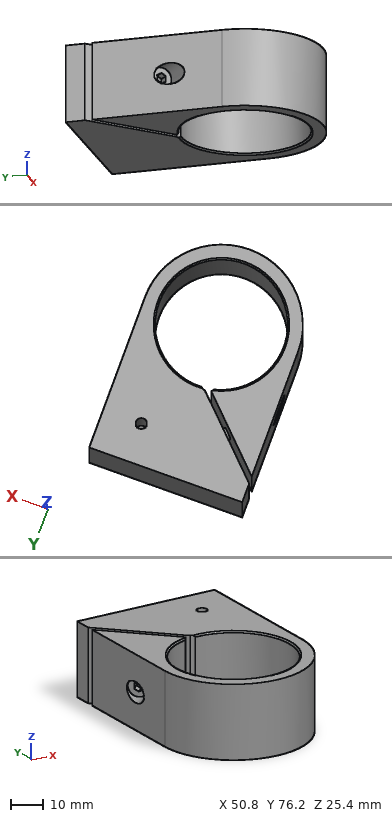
import cadquery as cq
import math

length = 76.2
outer_radius = length / 3
width = 2 * outer_radius
height = length / 3
back_y = length - outer_radius

bore_radius = 20.65
bore_chamfer = 0.5

slot_width = 1.7
slot_y_at_axis = 17.9

relief_center = (-2.75, 19.05)
relief_radius = 2.45

screw_center = (-12.3, 30.2)
shank_diameter = 4.0
head_diameter = 7.0
head_top_distance = 13.5
socket_flats = 3.05
socket_depth = 3.05
toward_block = cq.Vector(1, 1, 0).normalized()

drill_diameter = 3.5
drill_x = width / 4
drill_y = 1.5 * outer_radius
drill_depth = height / 2
drill_point_angle = 118.0


def make_body():
    return (
        cq.Workplane("XY")
        .moveTo(-outer_radius, back_y)
        .lineTo(-outer_radius, 0)
        .threePointArc((0, -outer_radius), (outer_radius, 0))
        .lineTo(outer_radius, back_y)
        .close()
        .extrude(height)
    )


def make_bore():
    mouth_radius = bore_radius + bore_chamfer
    return (
        cq.Workplane("XZ")
        .moveTo(0, 0)
        .lineTo(mouth_radius, 0)
        .lineTo(bore_radius, bore_chamfer)
        .lineTo(bore_radius, height - bore_chamfer)
        .lineTo(mouth_radius, height)
        .lineTo(0, height)
        .close()
        .revolve(360, (0, 0), (0, 1))
    )


def make_slot():
    rise = slot_width / math.sqrt(2)
    low_y = slot_y_at_axis - rise
    high_y = slot_y_at_axis + rise
    return (
        cq.Workplane("XY")
        .moveTo(0, low_y)
        .lineTo(0, high_y)
        .lineTo(-width, high_y + width)
        .lineTo(-width, low_y + width)
        .close()
        .extrude(height)
    )


def make_relief():
    return cq.Workplane("XY").center(*relief_center).circle(relief_radius).extrude(height)


def screw_plane(distance):
    """Plane across the screw axis, at a distance from the slot, facing out of the head."""
    origin = cq.Vector(*screw_center, height / 2) - toward_block * distance
    return cq.Plane(origin=origin, xDir=(0, 0, 1), normal=-toward_block)


def make_head_recess():
    head_top = screw_plane(head_top_distance)
    mouth = cq.Workplane(head_top).circle(head_diameter / 2).extrude(width)
    socket_corners = socket_flats / math.cos(math.pi / 6)
    socket = cq.Workplane(head_top).polygon(6, socket_corners).extrude(-socket_depth)
    return mouth.union(socket)


def make_shank():
    """Length of screw that bridges the slot, rooted in the block on both sides."""
    return cq.Workplane(screw_plane(-slot_width)).circle(shank_diameter / 2).extrude(2 * slot_width)


def make_drilled_hole():
    radius = drill_diameter / 2
    point_length = radius / math.tan(math.radians(drill_point_angle / 2))
    floor = height - drill_depth
    return (
        cq.Workplane("XZ")
        .moveTo(0, height)
        .lineTo(radius, height)
        .lineTo(radius, floor)
        .lineTo(0, floor - point_length)
        .close()
        .revolve(360, (0, 0), (0, 1))
        .translate((drill_x, drill_y, 0))
    )


result = (
    make_body()
    .cut(make_bore())
    .cut(make_slot())
    .cut(make_relief())
    .union(make_shank())
    .cut(make_head_recess())
    .cut(make_drilled_hole())
)